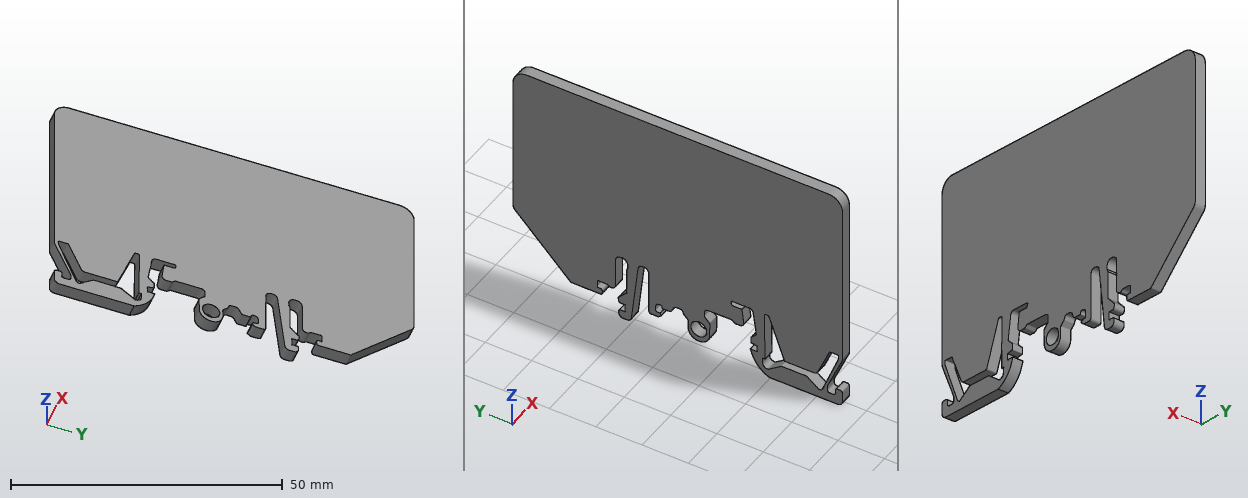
import cadquery as cq
import math

length = 71.1
height = 49.5
thickness = 2.5
left_end = length / 2
right_end = -length / 2

sole = 0.0
plate_bottom = 4.05
undercut_top = 7.05
slot_top = 14.7

sharp = 0.0
edge_round = 0.15
small_round = 0.35
medium_round = 0.6
large_round = 0.85

plate_corner_radius = 3.0
bevel_size = 12.5
bevel_corner_radius = 1.7

outer_slot_y = 13.45
inner_slot_y = 6.25

ring_y = -4.55
ring_hole_z = 4.9
ring_hole_radius = 1.7
ring_width = 4.6
ring_bottom = 2.05
ring_round = 2.3

spring_bend_z = 10.95
spring_thickness_y = 0.85


def rounded_wire(corners):
    """Closed YZ outline through (y, z, radius) corners; each corner is replaced by a tangent arc."""
    path = cq.Workplane("YZ")
    for index, (y, z, radius) in enumerate(corners):
        corner = cq.Vector(y, z)
        previous = cq.Vector(*corners[index - 1][:2])
        following = cq.Vector(*corners[(index + 1) % len(corners)][:2])
        back = (previous - corner).normalized()
        ahead = (following - corner).normalized()
        half_angle = back.getAngle(ahead) / 2
        setback = radius / math.tan(half_angle)
        arc_start = corner + back * setback
        arc_end = corner + ahead * setback
        if index == 0:
            path = path.moveTo(arc_start.x, arc_start.y)
        else:
            path = path.lineTo(arc_start.x, arc_start.y)
        if radius > 0:
            bisector = (back + ahead).normalized()
            arc_middle = corner + bisector * (radius / math.sin(half_angle) - radius)
            path = path.threePointArc((arc_middle.x, arc_middle.y), (arc_end.x, arc_end.y))
    return path.close()




def plate_edge():
    """Top corners of the plate and the 45-degree bevel at its +Y end."""
    return [
        (right_end, height, plate_corner_radius),
        (left_end, height, plate_corner_radius),
        (left_end, plate_bottom + bevel_size, bevel_corner_radius),
        (left_end - bevel_size, plate_bottom, small_round),
    ]


def left_undercut():
    """Hooked rail seat that opens into the outer slot."""
    hook_y = 16.4
    hook_tip_y = 16.1
    hook_top = 5.4
    seat_y = 17.35
    lug_start_y = 15.15
    lug_y = 14.65
    lug_bottom = 6.6
    return [
        (hook_y, plate_bottom, edge_round),
        (hook_tip_y, hook_top, medium_round),
        (seat_y, hook_top, edge_round),
        (seat_y, undercut_top, small_round),
        (lug_start_y, undercut_top, large_round),
        (lug_y, lug_bottom, edge_round),
        (outer_slot_y, lug_bottom, large_round),
    ]


def snap_arm():
    """Two round-ended slots and the barbed arm hanging between them."""
    slot_end_round = 1.2
    outer_slot_wall_y = 10.8
    wall_step_top = 12.8
    wall_step_bottom = 12.2
    arm_y = 11.0
    barb_top = 6.75
    barb_tip_y = 12.9
    barb_tip_z = 4.9
    nose_y = 12.7
    notch_y = 11.4
    notch_top = 3.8
    notch_bottom = 2.1
    arm_end = 0.35
    arm_end_y = 10.1
    arm_end_round = 1.0
    inner_slot_wall_y = 8.45
    inner_slot_top = slot_top - 0.15
    inner_slot_round = 1.1
    return [
        (outer_slot_y, slot_top, slot_end_round),
        (outer_slot_wall_y, slot_top, slot_end_round),
        (outer_slot_wall_y, wall_step_top, sharp),
        (arm_y, wall_step_bottom, sharp),
        (arm_y, barb_top, small_round),
        (barb_tip_y, barb_tip_z, small_round),
        (nose_y, notch_top, medium_round),
        (notch_y, notch_top, sharp),
        (notch_y, notch_bottom, sharp),
        (nose_y, notch_bottom, small_round),
        (nose_y, arm_end, arm_end_round),
        (arm_end_y, arm_end, arm_end_round),
        (inner_slot_wall_y, inner_slot_top, inner_slot_round),
        (inner_slot_y, inner_slot_top, inner_slot_round),
    ]


def middle_hook():
    """Small hook and scalloped edge between the inner slot and the ring."""
    hook_end_y = 4.2
    barb_y = 3.5
    barb_z = 4.6
    barb_back_y = 3.8
    hook_top = 5.1
    notch_y = 4.8
    notch_top = 7.1
    notch_wall_y = 3.35
    notch_round = 0.5
    ledge_z = 6.4
    scallop_left_y = 1.5
    scallop_top_left_y = 0.7
    scallop_top_right_y = -0.9
    scallop_top = 8.0
    scallop_right_y = -1.3
    return [
        (inner_slot_y, plate_bottom, medium_round),
        (hook_end_y, plate_bottom, edge_round),
        (barb_y, barb_z, edge_round),
        (barb_back_y, hook_top, sharp),
        (notch_y, hook_top, small_round),
        (notch_y, notch_top, large_round),
        (notch_wall_y, notch_top, notch_round),
        (notch_wall_y, ledge_z, edge_round),
        (scallop_left_y, ledge_z, small_round),
        (scallop_top_left_y, scallop_top, large_round),
        (scallop_top_right_y, scallop_top, medium_round),
        (scallop_right_y, undercut_top, edge_round),
    ]


def ring_boss():
    """U-shaped boss around the ring hole."""
    left_y = ring_y + ring_width / 2
    right_y = ring_y - ring_width / 2
    left_top = 6.1
    right_top = 7.25
    right_draft = 0.1
    return [
        (left_y, left_top, small_round),
        (left_y, ring_bottom, ring_round),
        (right_y, ring_bottom, ring_round),
        (right_y - right_draft, right_top, small_round),
    ]


def right_recess():
    """Stepped recess with a rounded lug and a narrow side slit at the top."""
    recess_y = -5.75
    recess_bottom = 8.45
    recess_top = 10.25
    lug_start_y = -11.65
    lug_left_y = -12.4
    lug_right_y = -14.4
    lug_bottom = 9.7
    slit_mouth_y = -13.9
    slit_end_y = -11.5
    slit_bottom = 13.7
    arm_top_y = -16.15
    return [
        (recess_y, recess_bottom, small_round),
        (recess_y, recess_top, large_round),
        (lug_start_y, recess_top, small_round),
        (lug_left_y, lug_bottom, medium_round),
        (lug_right_y, lug_bottom, large_round),
        (slit_mouth_y, slit_bottom, sharp),
        (slit_end_y, slit_bottom, medium_round),
        (slit_end_y, slot_top, small_round),
        (arm_top_y, slot_top, large_round),
    ]


def spring_foot():
    """Barbed arm, curved heel, sole, release lip and the slanted spring at the -Y end."""
    arm_y = -17.0
    arm_bottom = 8.95
    barb_y = -15.8
    barb_top = 7.9
    barb_bottom = 6.6
    notch_y = -17.15
    notch_top = 6.3
    notch_bottom = 5.05
    heel_top_y = -15.65
    heel_corner_y = -17.0
    heel_corner_z = 1.3
    heel_radius = 6.75
    sole_start_y = -19.8
    toe_radius = 1.1
    lip_y = -34.1
    lip_top = 3.6
    groove_bottom = 2.0
    groove_y = -32.3
    spring_root_z = 3.4
    spring_bend_radius = 1.7
    return [
        (arm_y, arm_bottom, medium_round),
        (barb_y, barb_top, small_round),
        (barb_y, barb_bottom, edge_round),
        (notch_y, notch_top, sharp),
        (notch_y, notch_bottom, sharp),
        (heel_top_y, notch_bottom, sharp),
        (heel_corner_y, heel_corner_z, heel_radius),
        (sole_start_y, sole, sharp),
        (right_end, sole, toe_radius),
        (right_end, lip_top, medium_round),
        (lip_y, lip_top, small_round),
        (lip_y, groove_bottom, medium_round),
        (groove_y, groove_bottom, medium_round),
        (groove_y, spring_root_z, small_round),
        (right_end, spring_bend_z, spring_bend_radius),
    ]


def foot_opening():
    """Closed opening that frees the spring foot from the plate."""
    arm_top_y = -18.7
    arm_bottom_y = -18.85
    step_y = -18.35
    ridge_z = 3.85
    ridge_left_y = -22.4
    ridge_right_y = -27.8
    valley_z = 1.85
    left_valley_y = -19.55
    left_valley_round = 1.0
    right_valley_y = -30.5
    spring_root_y = -31.1
    spring_y = right_end + spring_thickness_y
    slot_right_y = -19.6
    tongue_z = 5.3
    tongue_left_y = -23.05
    tongue_right_y = -30.0
    spring_slot_top = 11.8
    spring_slot_y = -32.8
    step_z = 4.0
    return [
        (arm_top_y, slot_top, small_round),
        (slot_right_y, slot_top, small_round),
        (tongue_left_y, tongue_z, small_round),
        (tongue_right_y, tongue_z, large_round),
        (spring_slot_y, spring_slot_top, edge_round),
        (spring_y, spring_slot_top, edge_round),
        (spring_y, spring_bend_z, small_round),
        (spring_root_y, valley_z, medium_round),
        (right_valley_y, valley_z, edge_round),
        (ridge_right_y, ridge_z, edge_round),
        (ridge_left_y, ridge_z, edge_round),
        (left_valley_y, valley_z, medium_round),
        (step_y, valley_z, left_valley_round),
        (step_y, step_z, sharp),
        (arm_bottom_y, step_z, sharp),
    ]


outline = (
    plate_edge()
    + left_undercut()
    + snap_arm()
    + middle_hook()
    + ring_boss()
    + right_recess()
    + spring_foot()
)
plate = rounded_wire(outline).extrude(thickness)
opening = rounded_wire(foot_opening()).extrude(thickness)
ring_hole = cq.Workplane("YZ").center(ring_y, ring_hole_z).circle(ring_hole_radius).extrude(thickness)
result = plate.cut(opening).cut(ring_hole)